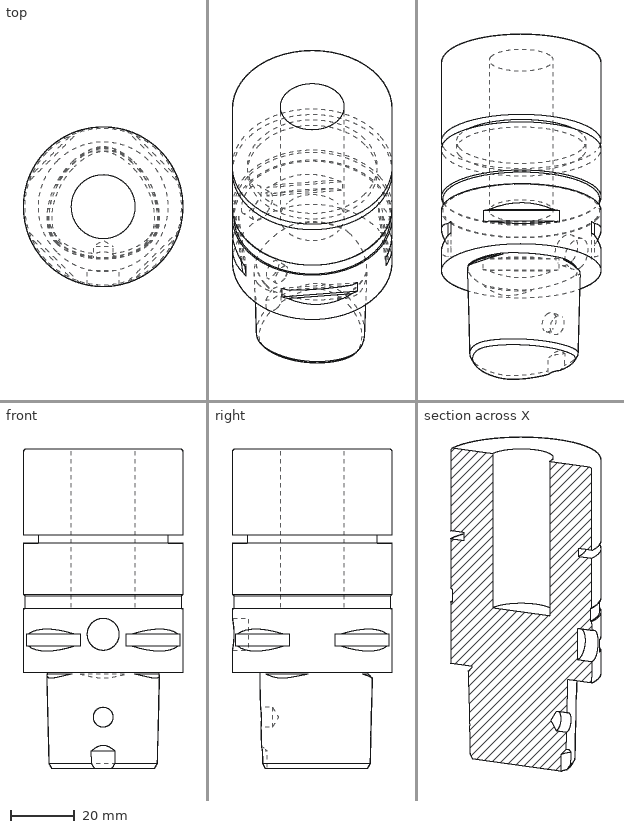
import cadquery as cq
import math

body_radius = 25.0
body_top = 70.0
top_fillet = 1.0
flange_height = 20.0
neck_radius = 24.5
neck_top = 24.0
neck_cone_height = 0.5
groove_radius = 20.3
groove_bottom = 40.5
groove_top = 43.0
bore_diameter = 20.0
bore_depth = 50.0

shank_length = 30.0
shank_top_radius = 17.6
straight_length = 3.0
taper_slope = 1 / 40
lobe_height = 1.2
outline_point_count = 48
end_chamfer_height = 1.6
end_chamfer_width = 0.9

relief_root_radius = 17.5
relief_root_height = 0.4
relief_outer_radius = 22.0

grip_height = 10.2
grip_floor_distance = 22.0
grip_floor_half_width = 1.92
grip_wall_depth = 0.9
grip_mouth_half_width = 3.45
grip_angles = [45, 135, 225, 315]

flange_hole_diameter = 10.0
flange_hole_height = 12.0
flange_hole_depth = 5.0
shank_hole_diameter = 6.2
shank_hole_height = -13.9
shank_hole_depth = 4.0
drill_half_angle = math.radians(59)

notch_radius = 5.5
notch_axis_distance = 19.6
notch_height = 5.5


def make_body():
    """Turned head with its two grooves and the blind bore."""
    half_profile = [
        (0, 0),
        (body_radius, 0),
        (body_radius, flange_height),
        (neck_radius, flange_height),
        (neck_radius, neck_top),
        (body_radius, neck_top + neck_cone_height),
        (body_radius, groove_bottom),
        (groove_radius, groove_bottom),
        (groove_radius, groove_top),
        (body_radius, groove_top),
        (body_radius, body_top),
        (0, body_top),
    ]
    body = cq.Workplane("XZ").polyline(half_profile).close().revolve(360, (0, 0), (0, 1))
    body = body.faces(">Z").edges().fillet(top_fillet)
    return body.faces(">Z").workplane().hole(bore_diameter, bore_depth)


def lobed_point(mean_radius, angle):
    """Point on a constant-width three-lobed curve with one lobe at +Y."""
    along = mean_radius * math.cos(angle)
    along += lobe_height * (2 * math.cos(2 * angle) - math.cos(4 * angle))
    across = mean_radius * math.sin(angle)
    across -= lobe_height * (2 * math.sin(2 * angle) + math.sin(4 * angle))
    return across, along


def shank_section(top_height, top_radius, bottom_height, bottom_radius):
    """Ruled solid between two lobed outlines."""
    def outline(height, radius):
        step_angle = 2 * math.pi / outline_point_count
        points = [lobed_point(radius, math.pi + step * step_angle) for step in range(outline_point_count)]
        curve = [cq.Vector(x, y, height) for x, y in points]
        return cq.Wire.assembleEdges([cq.Edge.makeSpline(curve, periodic=True)])

    top = outline(top_height, top_radius)
    bottom = outline(bottom_height, bottom_radius)
    return cq.Workplane(cq.Solid.makeLoft([top, bottom], True))


def make_shank():
    """Straight collar, taper and end chamfer stacked below the flange."""
    chamfer_start = end_chamfer_height - shank_length
    taper_length = shank_length - end_chamfer_height - straight_length
    taper_end_radius = shank_top_radius - taper_length * taper_slope
    straight = shank_section(0, shank_top_radius, -straight_length, shank_top_radius)
    taper = shank_section(-straight_length, shank_top_radius, chamfer_start, taper_end_radius)
    end = shank_section(
        chamfer_start, taper_end_radius, -shank_length, taper_end_radius - end_chamfer_width
    )
    return straight.union(taper).union(end)


def lobe_relief():
    """Ring around the lobe tips: a short cylindrical root, then a 45 degree cone widening downward."""
    profile = [
        (relief_root_radius, 0),
        (relief_root_radius, -relief_root_height),
        (relief_outer_radius, relief_root_radius - relief_outer_radius - relief_root_height),
        (relief_outer_radius, 0),
    ]
    return cq.Workplane("XZ").polyline(profile).close().revolve(360, (0, 0), (0, 1))


def grip_groove(angle):
    """Straight groove with short parallel walls and flared edges, cut across the flange."""
    flare_distance = grip_floor_distance + grip_wall_depth
    profile = [
        (grip_floor_distance, grip_height - grip_floor_half_width),
        (flare_distance, grip_height - grip_floor_half_width),
        (body_radius, grip_height - grip_mouth_half_width),
        (body_radius, grip_height + grip_mouth_half_width),
        (flare_distance, grip_height + grip_floor_half_width),
        (grip_floor_distance, grip_height + grip_floor_half_width),
    ]
    groove = cq.Workplane("XZ").polyline(profile).close().extrude(body_radius, both=True)
    return groove.rotate((0, 0, 0), (0, 0, 1), angle)


def flange_hole():
    """Flat-bottomed blind hole in the rim of the flange."""
    plane = cq.Workplane("XZ", origin=(0, -body_radius, flange_hole_height))
    return plane.circle(flange_hole_diameter / 2).extrude(-flange_hole_depth)


def shank_hole():
    """Drilled hole with a conical bottom; its depth is taken from the flat of the shank."""
    radius = shank_hole_diameter / 2
    floor = shank_hole_depth + lobe_height - shank_top_radius
    tip = floor + radius / math.tan(drill_half_angle)
    profile = [(0, -body_radius), (radius, -body_radius), (radius, floor), (0, tip)]
    hole = cq.Workplane("XY").polyline(profile).close().revolve(360, (0, 0), (0, 1))
    return hole.translate((0, 0, shank_hole_height))


def key_notch():
    """Round-backed notch that ends in a 45 degree cone."""
    profile = [
        (0, 0),
        (notch_radius, 0),
        (notch_radius, notch_height),
        (0, notch_height + notch_radius),
    ]
    notch = cq.Workplane("XZ").polyline(profile).close().revolve(360, (0, 0), (0, 1))
    return notch.translate((0, -notch_axis_distance, -shank_length))


shank = make_shank().cut(lobe_relief()).cut(shank_hole()).cut(key_notch())
head = make_body().cut(flange_hole())
for grip_angle in grip_angles:
    head = head.cut(grip_groove(grip_angle))

result = head.union(shank)